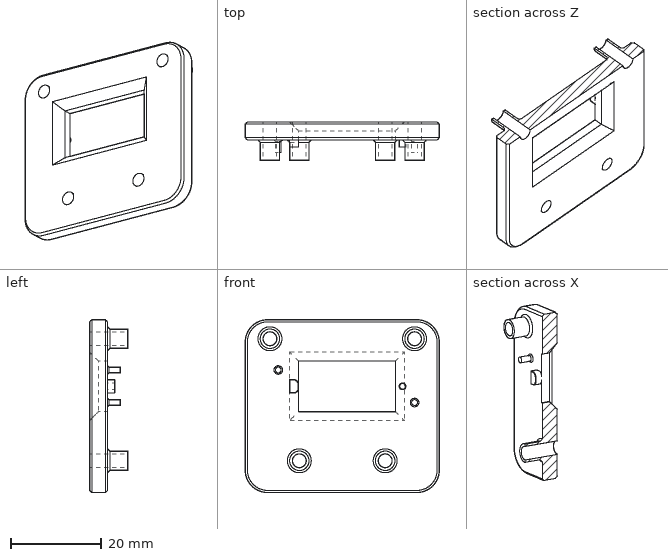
import cadquery as cq

plate_width = 43.0
plate_height = 38.3
plate_thickness = 4.0
corner_radius = 5.0
plate_chamfer = 0.5

window_width = 21.4
window_height = 11.15
window_bevel = 2.0
window_x = 1.05
window_z = 4.38

post_diameter = 4.3
post_bore = 3.0
post_length = 4.5
post_flare = 0.5
upper_post_x = 16.0
upper_post_z = 14.91
lower_post_x = 9.5
lower_post_z = -12.09
post_centers = [
    (-upper_post_x, upper_post_z),
    (upper_post_x, upper_post_z),
    (-lower_post_x, lower_post_z),
    (lower_post_x, lower_post_z),
]

pin_diameter = 1.3
pin_length = 2.8
pin_flare = 0.3
pin_centers = [(-14.15, 8.0), (16.0, 0.8)]

stop_length = 1.6
stop_chamfer = 0.1
peg_diameter = 1.5
peg_x = 13.35
block_right = window_x - window_width / 2
block_width = 2.0
block_height = 3.0
block_corner_radius = 1.1


def front_plane(x, z):
    """Sketch plane on the front face; its normal points out along -Y."""
    return cq.Workplane("XZ", origin=(x, 0, z))


def make_plate():
    return (
        cq.Workplane("XZ")
        .rect(plate_width, plate_height)
        .extrude(-plate_thickness)
        .edges("|Y")
        .fillet(corner_radius)
        .faces("<Y or >Y")
        .chamfer(plate_chamfer)
    )


def make_flared_stud(center, diameter, length, flare):
    """Round stud with a 45 degree flare where it meets the plate."""
    radius = diameter / 2
    return (
        front_plane(*center)
        .circle(radius)
        .extrude(length)
        .union(
            front_plane(*center)
            .circle(radius + flare)
            .workplane(offset=flare)
            .circle(radius)
            .loft(combine=True)
        )
    )


def make_peg():
    return (
        front_plane(peg_x, window_z)
        .circle(peg_diameter / 2)
        .extrude(stop_length)
        .faces("<Y")
        .chamfer(stop_chamfer)
    )


def make_block():
    """D-shaped block: square corners on the left, rounded ones beside the window."""
    return (
        front_plane(block_right - block_width / 2, window_z)
        .rect(block_width, block_height)
        .extrude(stop_length)
        .edges("|Y and >X")
        .fillet(block_corner_radius)
        .faces("<Y")
        .chamfer(stop_chamfer)
    )


def make_window_cut():
    """Straight opening at the front, widening at 45 degrees towards the back face."""
    straight_depth = plate_thickness - window_bevel
    opening = (
        front_plane(window_x, window_z)
        .rect(window_width, window_height)
        .extrude(-plate_thickness)
    )
    bevel = (
        front_plane(window_x, window_z)
        .workplane(offset=-straight_depth)
        .rect(window_width, window_height)
        .workplane(offset=-window_bevel)
        .rect(window_width + 2 * window_bevel, window_height + 2 * window_bevel)
        .loft(combine=True)
    )
    return opening.union(bevel)


def make_bore(center):
    return (
        front_plane(*center)
        .workplane(offset=-plate_thickness)
        .circle(post_bore / 2)
        .extrude(plate_thickness + post_length)
    )


result = make_plate().union(make_peg()).union(make_block())

for post_center in post_centers:
    result = result.union(make_flared_stud(post_center, post_diameter, post_length, post_flare))

for pin_center in pin_centers:
    result = result.union(make_flared_stud(pin_center, pin_diameter, pin_length, pin_flare))

result = result.cut(make_window_cut())

for post_center in post_centers:
    result = result.cut(make_bore(post_center))